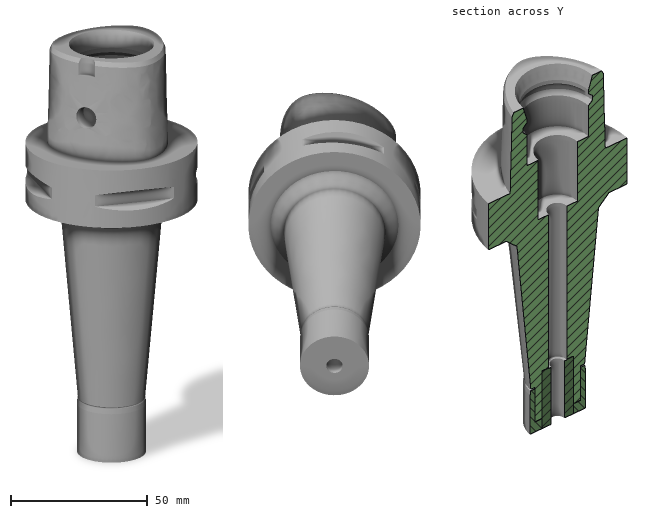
import cadquery as cq
import math

TOTAL_LENGTH = 158.0

SHANK_LENGTH = 37.9
SHANK_RADIUS = 22.1
LOBE_HEIGHT = 1.5
POLYGON_POINTS = 36
SHANK_TAPER = 1 / 40
RIM_HEIGHT = 1.7
RIM_WIDTH = 0.8

FLANGE_DIAMETER = 63.0
FLANGE_RADIUS = FLANGE_DIAMETER / 2
FLANGE_HEIGHT = 22.3
GROOVE_FLOOR = 27.6
GROOVE_FLOOR_HEIGHT = 4.5
GROOVE_MOUTH_HEIGHT = 7.6
GROOVE_DROP = 12.0

COLLAR_RADIUS = 23.4
COLLAR_HEIGHT = 4.7
NECK_TOP_RADIUS = 18.6
NECK_END_RADIUS = 12.3

NUT_RADIUS = 12.6
NUT_HEIGHT = 20.9
NUT_BEVEL_HEIGHT = 2.0
NUT_BEVEL_WIDTH = 0.2
NUT_LIP = 4.7
NUT_GAP = 0.5
NOSE_RADIUS = 10.5

COLLET_RADIUS = 7.1
COLLET_LENGTH = 27.5
COLLET_BORE_RADIUS = 3.0

MOUTH_RADIUS = 15.6
BORE_RADIUS = 13.9
MOUTH_DEPTH = 6.3
LIP_DEPTH = 8.0
RECESS_BOTTOM_DEPTH = 13.7
RECESS_STEP = 1.7
BORE_DEPTH = 28.5
BOLT_BORE_RADIUS = 8.8
BOLT_BORE_DEPTH = 56.9
COOLANT_RADIUS = 4.1

NOTCH_RADIUS = 4.0
NOTCH_DEPTH = 6.3
NOTCH_CENTER = 21.6
PIN_HOLE_RADIUS = 4.1
PIN_HOLE_DROP = 22.3
PIN_HOLE_FLOOR = 14.4

FLANGE_TOP = TOTAL_LENGTH - SHANK_LENGTH
FLANGE_BOTTOM = FLANGE_TOP - FLANGE_HEIGHT
NECK_TOP = FLANGE_BOTTOM - COLLAR_HEIGHT
NECK_END = NUT_HEIGHT + NUT_GAP


def cylinder(radius, bottom, top):
    return cq.Workplane("XY").workplane(offset=bottom).circle(radius).extrude(top - bottom)


def revolved(profile):
    """Turn a closed (radius, height) outline around the Z axis."""
    return cq.Workplane("XZ").polyline(profile).close().revolve(360, (0, 0, 0), (0, 1, 0))


def polygon_wire(mean_radius, height):
    """Closed curve whose tangent is reach away from the axis, with reach varying three times per turn."""
    points = []
    for step in range(POLYGON_POINTS):
        angle = 2 * math.pi * step / POLYGON_POINTS
        reach = mean_radius - LOBE_HEIGHT * math.cos(3 * angle)
        slope = 3 * LOBE_HEIGHT * math.sin(3 * angle)
        x = reach * math.sin(angle) + slope * math.cos(angle)
        y = slope * math.sin(angle) - reach * math.cos(angle)
        points.append(cq.Vector(x, y, height))
    return cq.Wire.assembleEdges([cq.Edge.makeSpline(points, periodic=True)])


def make_shank():
    rim_base = TOTAL_LENGTH - RIM_HEIGHT
    rim_radius = SHANK_RADIUS - SHANK_TAPER * (SHANK_LENGTH - RIM_HEIGHT)
    base = polygon_wire(SHANK_RADIUS, FLANGE_TOP)
    shoulder = polygon_wire(rim_radius, rim_base)
    end = polygon_wire(rim_radius - RIM_WIDTH, TOTAL_LENGTH)
    return cq.Workplane(cq.Solid.makeLoft([base, shoulder, end], True))


def make_outer_body():
    """Flange, bevelled collar, tapered neck and nose as one turned shape."""
    return revolved([
        (0, FLANGE_TOP),
        (FLANGE_RADIUS, FLANGE_TOP),
        (FLANGE_RADIUS, FLANGE_BOTTOM),
        (COLLAR_RADIUS, FLANGE_BOTTOM),
        (NECK_TOP_RADIUS, NECK_TOP),
        (NECK_END_RADIUS, NECK_END),
        (NOSE_RADIUS, NECK_END),
        (NOSE_RADIUS, NUT_LIP),
        (0, NUT_LIP),
    ])


def make_gripper_groove():
    """Cutter for a groove with sloped flanks on the +X side."""
    center = FLANGE_TOP - GROOVE_DROP
    floor_half = GROOVE_FLOOR_HEIGHT / 2
    mouth_half = GROOVE_MOUTH_HEIGHT / 2
    return (
        cq.Workplane("XZ")
        .polyline([
            (GROOVE_FLOOR, center - floor_half),
            (FLANGE_RADIUS, center - mouth_half),
            (FLANGE_RADIUS, center + mouth_half),
            (GROOVE_FLOOR, center + floor_half),
        ])
        .close()
        .extrude(FLANGE_RADIUS, both=True)
    )


def make_bore():
    """Everything removed along the axis of the holder."""
    recess_radius = BORE_RADIUS + RECESS_STEP
    bore_end = TOTAL_LENGTH - BORE_DEPTH
    bolt_bore_end = TOTAL_LENGTH - BOLT_BORE_DEPTH
    return revolved([
        (0, TOTAL_LENGTH),
        (MOUTH_RADIUS, TOTAL_LENGTH),
        (BORE_RADIUS, TOTAL_LENGTH - MOUTH_DEPTH),
        (BORE_RADIUS, TOTAL_LENGTH - LIP_DEPTH),
        (recess_radius, TOTAL_LENGTH - LIP_DEPTH - RECESS_STEP),
        (recess_radius, TOTAL_LENGTH - RECESS_BOTTOM_DEPTH + RECESS_STEP),
        (BORE_RADIUS, TOTAL_LENGTH - RECESS_BOTTOM_DEPTH),
        (BORE_RADIUS, bore_end),
        (BOLT_BORE_RADIUS, bore_end),
        (BOLT_BORE_RADIUS, bolt_bore_end),
        (COOLANT_RADIUS, bolt_bore_end),
        (COOLANT_RADIUS, COLLET_LENGTH),
        (COLLET_RADIUS, COLLET_LENGTH),
        (COLLET_RADIUS, NUT_LIP),
        (0, NUT_LIP),
    ])


def make_notch():
    notch = cylinder(NOTCH_RADIUS, TOTAL_LENGTH - NOTCH_DEPTH, TOTAL_LENGTH)
    return notch.translate((0, -NOTCH_CENTER, 0))


def make_pin_hole():
    """Cutter from the hole floor out through the -Y side of the shank."""
    return (
        cq.Workplane("XZ", origin=(0, -PIN_HOLE_FLOOR, TOTAL_LENGTH - PIN_HOLE_DROP))
        .circle(PIN_HOLE_RADIUS)
        .extrude(SHANK_RADIUS - PIN_HOLE_FLOOR)
    )


def make_holder():
    body = make_outer_body().union(make_shank())
    for corner in range(4):
        turned = make_gripper_groove().rotate((0, 0, 0), (0, 0, 1), 45 + 90 * corner)
        body = body.cut(turned)
    return body.cut(make_bore()).cut(make_notch()).cut(make_pin_hole())


def make_nut():
    return revolved([
        (COLLET_RADIUS, 0),
        (NUT_RADIUS, 0),
        (NUT_RADIUS, NUT_HEIGHT - NUT_BEVEL_HEIGHT),
        (NUT_RADIUS - NUT_BEVEL_WIDTH, NUT_HEIGHT),
        (NOSE_RADIUS, NUT_HEIGHT),
        (NOSE_RADIUS, NUT_LIP),
        (COLLET_RADIUS, NUT_LIP),
    ])


def make_collet():
    return cylinder(COLLET_RADIUS, 0, COLLET_LENGTH).cut(cylinder(COLLET_BORE_RADIUS, 0, COLLET_LENGTH))


holder = make_holder()
nut = make_nut()
collet = make_collet()

result = cq.Compound.makeCompound([holder.val(), nut.val(), collet.val()])